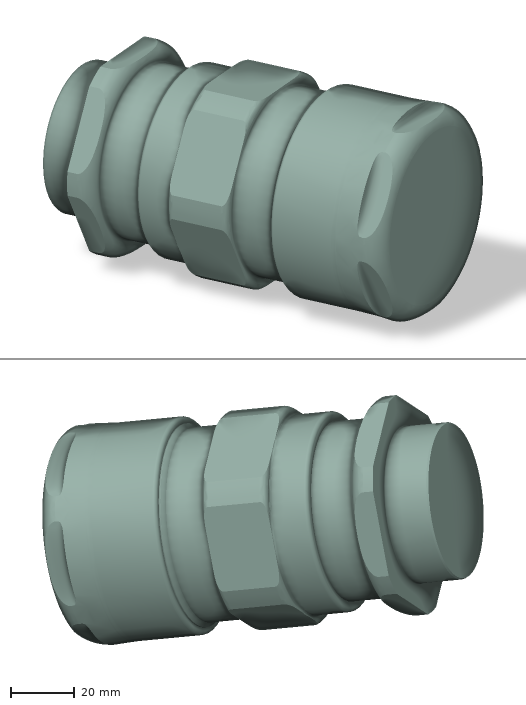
import cadquery as cq
import math


flats_width = 65.0
corner_radius = 70.7 / 2
root_fillet = 0.6

spigot_radius = 50.0 / 2
spigot_chamfer_length = 0.6
spigot_chamfer_depth = 0.32
spigot_fillet = 0.32
flange_start = 14.8
flange_end = 23.3
flange_rounding = 5.1
neck_radius = 57.4 / 2

body_start = 38.2
collar_radius = 63.9 / 2
collar_rounding = 1.22
hexagon_start = 51.1
hexagon_end = 72.8
hexagon_rounding = 2.0
barrel_radius = 62.1 / 2
shoulder_start = 86.5
shoulder_chamfer = 1.4
shoulder_radius = barrel_radius + shoulder_chamfer

cap_start = 88.4
cap_end = 128.6
cap_radius = 69.6 / 2
cap_start_rounding = 1.22
cap_end_rounding = 6.3
taper_start = 111.5
blend_reach = 0.9
cap_flats_start = 120.0
cap_flats_fillet = 1.3
socket_depth = 10.3


def start_outline(x):
    """Begin an outline on the axis; its points are (x, radius)."""
    return cq.Workplane("XY").moveTo(x, 0)


def turn(outline):
    """Close an outline along the X axis and revolve it about that axis."""
    return outline.close().revolve(360, (0, 0, 0), (1, 0, 0))


def hexagonal_bar(start, end):
    """Bar along X with two of its flats facing +Z and -Z."""
    across_corners = flats_width / math.cos(math.pi / 6)
    return cq.Workplane("YZ", origin=(start, 0, 0)).polygon(6, across_corners).extrude(end - start)


def round_bar(start, end, radius):
    return cq.Workplane("YZ", origin=(start, 0, 0)).circle(radius).extrude(end - start)


def make_entry():
    spigot = turn(
        start_outline(0)
        .lineTo(0, spigot_radius - spigot_chamfer_depth)
        .lineTo(spigot_chamfer_length, spigot_radius)
        .lineTo(flange_start - spigot_fillet, spigot_radius)
        .radiusArc((flange_start, spigot_radius + spigot_fillet), -spigot_fillet)
        .lineTo(flange_start, 0)
    )
    rounded_disc = turn(
        start_outline(flange_start)
        .lineTo(flange_start, corner_radius)
        .lineTo(flange_end - flange_rounding, corner_radius)
        .radiusArc((flange_end, corner_radius - flange_rounding), flange_rounding)
        .lineTo(flange_end, 0)
    )
    flange = rounded_disc.intersect(hexagonal_bar(flange_start, flange_end))
    neck = turn(
        start_outline(flange_end)
        .lineTo(flange_end, neck_radius + root_fillet)
        .radiusArc((flange_end + root_fillet, neck_radius), -root_fillet)
        .lineTo(body_start, neck_radius)
        .lineTo(body_start, 0)
    )
    return spigot.union(flange).union(neck)


def make_body():
    collar = turn(
        start_outline(body_start)
        .lineTo(body_start, collar_radius - collar_rounding)
        .radiusArc((body_start + collar_rounding, collar_radius), collar_rounding)
        .lineTo(hexagon_start - root_fillet, collar_radius)
        .radiusArc((hexagon_start, collar_radius + root_fillet), -root_fillet)
        .lineTo(hexagon_start, 0)
    )
    rounded_disc = turn(
        start_outline(hexagon_start)
        .lineTo(hexagon_start, corner_radius - hexagon_rounding)
        .radiusArc((hexagon_start + hexagon_rounding, corner_radius), hexagon_rounding)
        .lineTo(hexagon_end - hexagon_rounding, corner_radius)
        .radiusArc((hexagon_end, corner_radius - hexagon_rounding), hexagon_rounding)
        .lineTo(hexagon_end, 0)
    )
    hexagon = rounded_disc.intersect(hexagonal_bar(hexagon_start, hexagon_end))
    shoulder_end = cap_start + socket_depth
    barrel = turn(
        start_outline(hexagon_end)
        .lineTo(hexagon_end, barrel_radius + root_fillet)
        .radiusArc((hexagon_end + root_fillet, barrel_radius), -root_fillet)
        .lineTo(shoulder_start, barrel_radius)
        .lineTo(shoulder_start + shoulder_chamfer, shoulder_radius)
        .lineTo(shoulder_end, shoulder_radius)
        .lineTo(shoulder_end, 0)
    )
    return collar.union(hexagon).union(barrel)


def make_cap_blank():
    """The cap as turned: no flats and no socket."""
    taper_end = cap_end - cap_end_rounding
    taper_angle = math.atan2(corner_radius - cap_radius, taper_end - taper_start)
    blend_radius = blend_reach / math.tan(taper_angle / 2)
    blend_end = (
        taper_start + blend_reach * math.cos(taper_angle),
        cap_radius + blend_reach * math.sin(taper_angle),
    )
    return turn(
        start_outline(cap_start)
        .lineTo(cap_start, cap_radius - cap_start_rounding)
        .radiusArc((cap_start + cap_start_rounding, cap_radius), cap_start_rounding)
        .lineTo(taper_start - blend_reach, cap_radius)
        .radiusArc(blend_end, -blend_radius)
        .lineTo(taper_end, corner_radius)
        .radiusArc((cap_end, corner_radius - cap_end_rounding), cap_end_rounding)
        .lineTo(cap_end, 0)
    )


def make_flats_cutter():
    """Everything outside the cap's hexagon, with the inner edge rounded where the flats run out."""
    surround = round_bar(cap_flats_start, cap_end, 2 * corner_radius)
    cutter = surround.cut(hexagonal_bar(cap_flats_start, cap_end))
    return cutter.faces("<X").edges("%LINE").fillet(cap_flats_fillet)


def make_cap():
    socket = round_bar(cap_start, cap_start + socket_depth, shoulder_radius)
    return make_cap_blank().cut(make_flats_cutter()).cut(socket)


entry = make_entry()
body = make_body()
cap = make_cap()

result = cq.Compound.makeCompound([part.solids().val() for part in (entry, body, cap)])